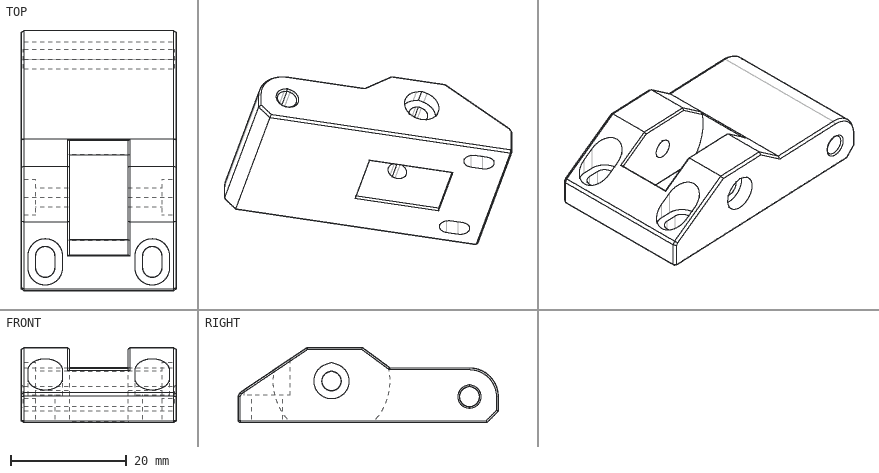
import cadquery as cq
import math

width = 26.8
length = 45.0
height = 13.0

pivot_radius = 5.0
rear_height = 9.5
rear_bottom_chamfer = 2.0
step_foot_y = 26.25
step_head_y = 21.5
ramp_top_y = 11.9
front_height = 5.0
front_top_chamfer = 0.4
base_chamfer = 0.3

bevel_width = 0.5
bevel_inset = 0.33

roof_angle = 18.0

pin_y = length - pivot_radius
pin_z = rear_height - pivot_radius
pin_diameter = 3.4
pin_chamfer = 0.3

axle_y = 16.15
axle_z = 7.2
axle_diameter = 3.3
axle_head_diameter = 6.1
axle_head_depth = 2.5
pocket_width = 10.1
pocket_radius = 10.1
pocket_chamfer = 0.33

mount_spacing = 18.5
mount_y = 5.0
mount_travel = 2.0
mount_diameter = 3.3
mount_head_diameter = 6.0
mount_floor_z = 4.8


def side_profile():
    """Closed outline of the side face, lying in the YZ plane."""
    slope = math.atan2(height - front_height, ramp_top_y)
    ramp_start_y = front_top_chamfer * math.cos(slope)
    ramp_start_z = front_height + front_top_chamfer * math.sin(slope)
    arc_mid = pivot_radius * math.sqrt(0.5)
    return (
        cq.Workplane("YZ")
        .moveTo(base_chamfer, 0)
        .lineTo(length - rear_bottom_chamfer, 0)
        .lineTo(length, rear_bottom_chamfer)
        .lineTo(length, pin_z)
        .threePointArc((pin_y + arc_mid, pin_z + arc_mid), (pin_y, rear_height))
        .lineTo(step_foot_y, rear_height)
        .lineTo(step_head_y, height)
        .lineTo(ramp_top_y, height)
        .lineTo(ramp_start_y, ramp_start_z)
        .lineTo(0, front_height - front_top_chamfer)
        .lineTo(0, base_chamfer)
        .close()
    )


def make_body():
    """Block with the side profile, bevelled around its two side faces."""
    core_half = width / 2 - bevel_width
    taper = math.degrees(math.atan2(bevel_inset, bevel_width))
    core = side_profile().extrude(core_half, both=True)
    cap = side_profile().extrude(bevel_width, taper=taper)
    right_cap = cap.translate((core_half, 0, 0))
    left_cap = right_cap.mirror("YZ")
    return core.union(right_cap).union(left_cap)


def teardrop(y, z, diameter, x):
    """Circle in a YZ plane at x whose top is closed by two lines tangent to it, meeting in a peak."""
    radius = diameter / 2
    roof = math.radians(roof_angle)
    tangent_y = radius * math.sin(roof)
    tangent_z = radius * math.cos(roof)
    return (
        cq.Workplane("YZ", origin=(x, y, z))
        .moveTo(0, radius / math.cos(roof))
        .lineTo(-tangent_y, tangent_z)
        .threePointArc((0, -radius), (tangent_y, tangent_z))
        .close()
    )


def make_pocket():
    """Disc-shaped pocket about the axle, open through the top and the base."""
    profile = cq.Workplane("YZ").center(axle_y, axle_z).circle(pocket_radius)
    return profile.extrude(pocket_width / 2, both=True)


def bevel_pocket_rim(body):
    """Bevel the straight edges where the pocket breaks through the upper faces and the base."""
    reach_x = pocket_width / 2 + pocket_chamfer
    rim = cq.selectors.BoxSelector(
        (-reach_x, axle_y - pocket_radius, -pocket_chamfer),
        (reach_x, axle_y + pocket_radius, height + pocket_chamfer),
    )
    return body.edges(rim).edges("%LINE").chamfer(pocket_chamfer)


def make_pin_hole():
    """Through hole at the rear, countersunk at both ends."""
    half = width / 2
    mouth_diameter = pin_diameter + 2 * pin_chamfer
    hole = teardrop(pin_y, pin_z, pin_diameter, -half).extrude(width)
    countersink = teardrop(pin_y, pin_z, mouth_diameter, half).extrude(-pin_chamfer, taper=45)
    return hole.union(countersink).union(countersink.mirror("YZ"))


def make_axle_hole():
    """Through hole on the axle line, counterbored at both ends."""
    half = width / 2
    hole = teardrop(axle_y, axle_z, axle_diameter, -half).extrude(width)
    head = teardrop(axle_y, axle_z, axle_head_diameter, half).extrude(-axle_head_depth)
    return hole.union(head).union(head.mirror("YZ"))


def mount_slot(diameter, bottom_z, top_z):
    """Pair of upright slots, elongated along Y."""
    return (
        cq.Workplane("XY", origin=(0, mount_y, bottom_z))
        .pushPoints([(-mount_spacing / 2, 0), (mount_spacing / 2, 0)])
        .slot2D(diameter + mount_travel, diameter, 90)
        .extrude(top_z - bottom_z)
    )


body = make_body()
body = bevel_pocket_rim(body.cut(make_pocket()))
body = body.cut(make_axle_hole()).cut(make_pin_hole())
body = body.cut(mount_slot(mount_diameter, 0, height))
body = body.cut(mount_slot(mount_head_diameter, mount_floor_z, height))
result = body